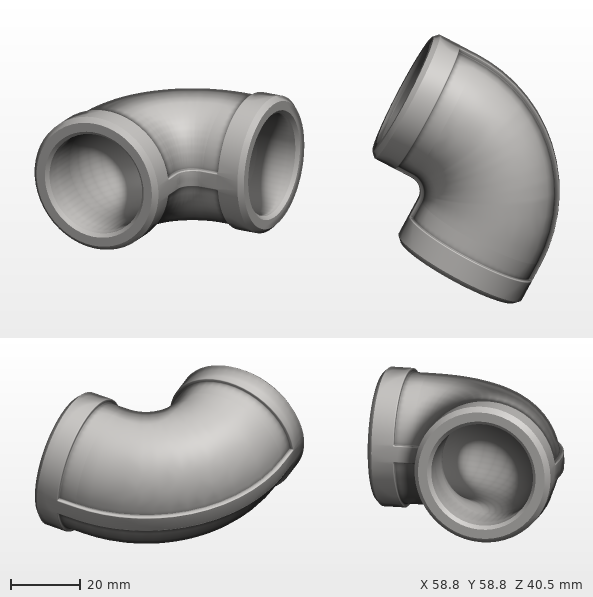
import cadquery as cq

overall_length = 58.8
collar_radius = 40.5 / 2
leg_length = overall_length - collar_radius

body_radius = 19.1
bend_radius = 25.15

collar_length = 8.0
collar_chamfer = 1.4

bore_radius = 30.3 / 2
mouth_chamfer = 1.0

rib_width = 5.05

step_fillet = 0.3

cut_margin = 2.95


def elbow(section, reach):
    """Solid elbow of the given section: a leg along -Y, a quarter bend and a leg along +X.

    Each leg ends at the distance reach from the crossing of the two axes.
    """
    straight_length = reach - bend_radius
    leg_y_start = cq.Workplane("XZ", origin=(0, -bend_radius, 0)).placeSketch(section)
    leg_x_start = cq.Workplane("YZ", origin=(bend_radius, 0, 0)).placeSketch(section)
    leg_y = leg_y_start.extrude(straight_length)
    bend = leg_y_start.revolve(90, (bend_radius, 0.6, 0), (bend_radius, 0, 0))
    leg_x = leg_x_start.extrude(straight_length)
    return leg_y.union(bend).union(leg_x)


def round_section(radius):
    return cq.Sketch().circle(radius)


def recess_section():
    """Ring outside the pipe body, split by the two ribs."""
    outer_radius = collar_radius + cut_margin
    return (
        cq.Sketch()
        .circle(outer_radius)
        .circle(body_radius, mode="s")
        .rect(2 * outer_radius + cut_margin, rib_width, mode="s")
        .clean()
    )


def open_ends(part):
    return part.faces("<Y or >X")


body = elbow(round_section(collar_radius), leg_length)
body = body.cut(elbow(recess_section(), leg_length - collar_length))
step_walls = body.faces("%PLANE").faces("not(<Y or >X)")
body = step_walls.edges().fillet(step_fillet)
body = open_ends(body).edges().chamfer(collar_chamfer)

body = body.cut(elbow(round_section(bore_radius), leg_length))
mouths = open_ends(body).edges(cq.selectors.RadiusNthSelector(0))
result = mouths.chamfer(mouth_chamfer)